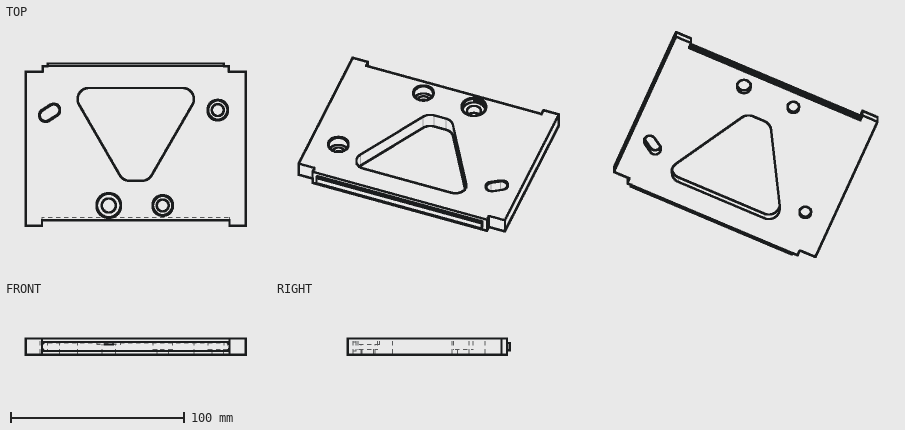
import cadquery as cq
import math

WIDTH = 127.0
BODY_DEPTH = 88.9
THICKNESS = 9.525
MID_Z = THICKNESS / 2

LEG_WIDTH = 9.525
RECESS_DEPTH = 3.175
GROOVE_HEIGHT = 5.08
GROOVE_DEPTH = 1.72
GROOVE_CORNER_RADIUS = 1.5875

STEP_INSET = 9.85
STEP_DEPTH = 3.175
TONGUE_INSET = 12.7
TONGUE_HEIGHT = 4.36
TONGUE_DEPTH = 1.5875

WINDOW_TOP_Y = 79.375
WINDOW_BOTTOM_Y = 26.0
WINDOW_FLAT_HALF = 7.3
WINDOW_SIDE_ANGLE = 60
WINDOW_RADIUS = 6.35

FRONT_HOLE_X = 15.55
FRONT_HOLE_Y = 11.7
PIVOT_POSITION = (-FRONT_HOLE_X, FRONT_HOLE_Y)
PIVOT_HOLE = 8.0
PIVOT_COUNTERBORE = 13.45
PIVOT_COUNTERBORE_DEPTH = 3.45
SCREW_POSITIONS = [(FRONT_HOLE_X, FRONT_HOLE_Y), (47.3, 66.7)]
SCREW_HOLE = 6.75
SCREW_COUNTERBORE = 11.05
SCREW_COUNTERBORE_DEPTH = 6.35

SLOT_CENTER = (-49.65, 65.15)
SLOT_WIDTH = 6.6
SLOT_TRAVEL = 5.6

EDGE_BREAK = 0.45
EDGE_BREAK_ANGLE = 45


def box(width, depth, height, front_y, bottom_z):
    """Box centred on X, starting at front_y and bottom_z."""
    return cq.Workplane("XY", origin=(0, front_y, bottom_z)).box(
        width, depth, height, centered=(True, False, False)
    )


def make_body():
    body = box(WIDTH, BODY_DEPTH, THICKNESS, 0, 0)
    recess = box(WIDTH - 2 * LEG_WIDTH, RECESS_DEPTH, THICKNESS, 0, 0)
    step = box(WIDTH - 2 * STEP_INSET, STEP_DEPTH, THICKNESS, BODY_DEPTH, 0)
    tongue = box(
        WIDTH - 2 * TONGUE_INSET,
        TONGUE_DEPTH,
        TONGUE_HEIGHT,
        BODY_DEPTH + STEP_DEPTH,
        MID_Z - TONGUE_HEIGHT / 2,
    )
    return body.cut(recess).union(step).union(tongue)


def make_groove():
    groove = box(
        WIDTH - 2 * LEG_WIDTH,
        GROOVE_DEPTH,
        GROOVE_HEIGHT,
        RECESS_DEPTH,
        MID_Z - GROOVE_HEIGHT / 2,
    )
    return groove.edges("|Y").fillet(GROOVE_CORNER_RADIUS)


def make_window():
    side_run = (WINDOW_TOP_Y - WINDOW_BOTTOM_Y) / math.tan(math.radians(WINDOW_SIDE_ANGLE))
    top_half = WINDOW_FLAT_HALF + side_run
    outline = [
        (-top_half, WINDOW_TOP_Y),
        (top_half, WINDOW_TOP_Y),
        (WINDOW_FLAT_HALF, WINDOW_BOTTOM_Y),
        (-WINDOW_FLAT_HALF, WINDOW_BOTTOM_Y),
    ]
    window = cq.Workplane("XY").polyline(outline).close().extrude(THICKNESS)
    return window.edges("|Z").fillet(WINDOW_RADIUS)


def flare_top(cutter):
    """Widen the top of an opening's cutter so that it leaves a bevelled edge."""
    bevel = (
        cutter.faces(">Z")
        .wires()
        .toPending()
        .offset2D(EDGE_BREAK)
        .extrude(-EDGE_BREAK, taper=EDGE_BREAK_ANGLE)
    )
    return cutter.union(bevel)


def make_counterbored_hole(position, hole, counterbore, counterbore_depth):
    through = cq.Workplane("XY").center(*position).circle(hole / 2).extrude(THICKNESS)
    floor_z = THICKNESS - counterbore_depth
    pocket = (
        cq.Workplane("XY", origin=(*position, floor_z))
        .circle(counterbore / 2)
        .extrude(counterbore_depth)
    )
    return through.union(flare_top(pocket))


def make_slot():
    from_pivot_x = SLOT_CENTER[0] - PIVOT_POSITION[0]
    from_pivot_y = SLOT_CENTER[1] - PIVOT_POSITION[1]
    angle = math.degrees(math.atan2(from_pivot_y, from_pivot_x)) - 90
    slot = (
        cq.Workplane("XY")
        .center(*SLOT_CENTER)
        .slot2D(SLOT_TRAVEL + SLOT_WIDTH, SLOT_WIDTH, angle)
        .extrude(THICKNESS)
    )
    return flare_top(slot)


result = make_body().cut(make_groove()).cut(make_window()).cut(make_slot())
result = result.cut(
    make_counterbored_hole(PIVOT_POSITION, PIVOT_HOLE, PIVOT_COUNTERBORE, PIVOT_COUNTERBORE_DEPTH)
)
for screw_position in SCREW_POSITIONS:
    result = result.cut(
        make_counterbored_hole(
            screw_position, SCREW_HOLE, SCREW_COUNTERBORE, SCREW_COUNTERBORE_DEPTH
        )
    )